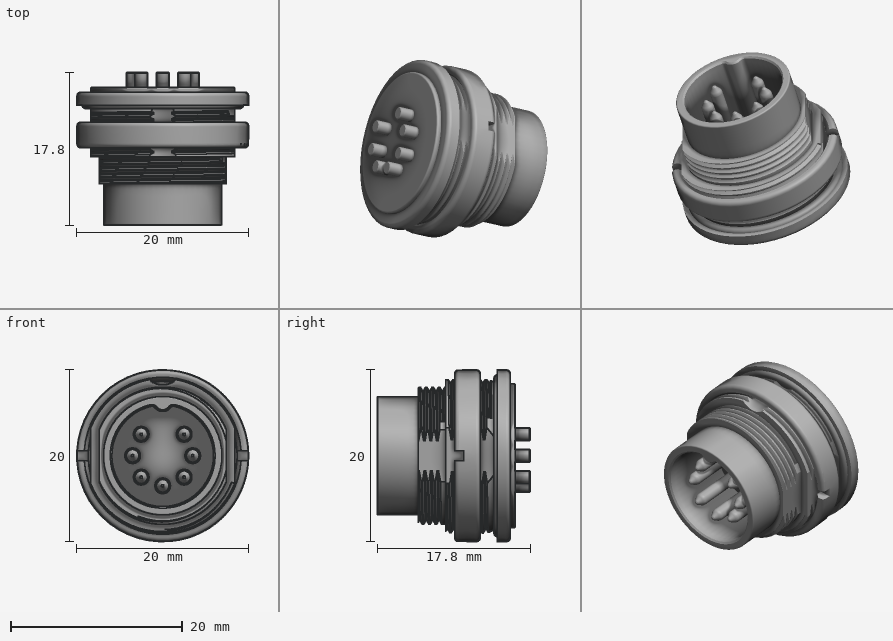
import cadquery as cq
import math


BODY_FRONT = 4.8
BODY_STEP = 7.95
NUT_FRONT = 9.0
NUT_REAR = 12.0
SEAL_FRONT = 13.57
FLANGE_FRONT = 13.97
FLANGE_REAR = 15.5
PLATE_REAR = 16.05
REAR_END = 17.8

SLEEVE_D = 13.8
SLEEVE_EDGE = 0.17
CAVITY_D = 11.84
CAVITY_DEPTH = 8.2
CAVITY_EDGE = 0.19
KEY_R = 1.1
KEY_TIP_Z = 5.15
KEY_BLEND = 0.5

SMALL_MAJOR_D = 16.0
SMALL_ROOT_D = 15.2
SMALL_FLATS = 14.8
LARGE_MAJOR_D = 18.0
LARGE_ROOT_D = 17.2
LARGE_FLATS = 16.8
NECK_D = 17.38
NECK_TAPER = 0.8
PITCH = 0.75
ROOT_WIDTH = 0.17
FLANK_ANGLE = 30.0
GROOVE_OVERCUT = 0.075
RUNOUT_ANGLE = 30.0
SMALL_RUNOUT = 7.705
LARGE_RUNOUT = 13.155
SMALL_TURNS = 5.2
LARGE_TURNS = 6.858

KEYWAY_R = 2.1
KEYWAY_BOTTOM_Z = 8.24

FLANGE_D = 20.0
FLANGE_FILLET = 0.5
SEAL_D = 18.86
SEAL_FILLET = 0.5
PLATE_D = 16.8
PLATE_FILLET = 0.2

NUT_D = 20.0
NUT_FILLET = 0.5
NUT_BORE_D = 17.34
NUT_MOUTH_D = 18.3
NUT_SLOT_WIDTH = 1.15
NUT_SLOT_DEPTH = 1.05

PIN_CIRCLE_R = 3.5
PIN_OFFSET = 2.5
PIN_POSITIONS = [
    (-PIN_CIRCLE_R, 0),
    (PIN_CIRCLE_R, 0),
    (0, -PIN_CIRCLE_R),
    (-PIN_OFFSET, -PIN_OFFSET),
    (PIN_OFFSET, -PIN_OFFSET),
    (-PIN_OFFSET, PIN_OFFSET),
    (PIN_OFFSET, PIN_OFFSET),
]
PIN_D = 1.48
PIN_COLLAR_D = 1.82
PIN_SHOULDER_D = 1.1
PIN_NOSE_D = 0.52
PIN_POINT_D = 0.29
PIN_FRONT = 0.75
PIN_NOSE_LENGTH = 0.1
PIN_CONE_LENGTH = 0.45
PIN_SHOULDER_LENGTH = 0.47
SOLDER_PIN_D = 1.48
SOLDER_PIN_EDGE = 0.1

CLEARANCE = 1.0
JOINT = 0.3


def cylinder(diameter, y_start, y_end, x=0.0, z=0.0):
    """Cylinder along Y between two stations."""
    plane = cq.Workplane("XZ", origin=(0, y_start, 0))
    return plane.center(x, z).circle(diameter / 2).extrude(y_start - y_end)


def revolve_about_axis(profile):
    return profile.close().revolve(360, (0, 0, 0), (0, 1, 0))


def cut_flats(body, across, y_start, y_end):
    """Keep only the material between two flats facing +X and -X."""
    depth = y_end - y_start
    middle = (y_start + y_end) / 2
    envelope = cq.Workplane("XY").box(across, depth, FLANGE_D).translate((0, middle, 0))
    return body.intersect(envelope)


def thread_groove(major_d, root_d, runout, turns):
    """Right-handed helical V groove that ends at the runout station."""
    root_r = root_d / 2
    outer_r = major_d / 2 + GROOVE_OVERCUT
    root_half = ROOT_WIDTH / 2
    mouth_half = root_half + (outer_r - root_r) * math.tan(math.radians(FLANK_ANGLE))
    length = turns * PITCH
    start_angle = -RUNOUT_ANGLE - 360 * turns
    path = cq.Workplane(obj=cq.Wire.makeHelix(PITCH, length, root_r))
    groove = (
        cq.Workplane("XZ")
        .moveTo(root_r, -root_half)
        .lineTo(root_r, root_half)
        .lineTo(outer_r, mouth_half)
        .lineTo(outer_r, -mouth_half)
        .close()
        .sweep(path, isFrenet=True)
    )
    return (
        groove.rotate((0, 0, 0), (0, 0, 1), start_angle)
        .rotate((0, 0, 0), (1, 0, 0), -90)
        .translate((0, runout - length, 0))
    )


def make_small_thread():
    rear = BODY_STEP + JOINT
    body = cylinder(SMALL_MAJOR_D, BODY_FRONT, rear)
    body = body.cut(thread_groove(SMALL_MAJOR_D, SMALL_ROOT_D, SMALL_RUNOUT, SMALL_TURNS))
    return cut_flats(body, SMALL_FLATS, BODY_FRONT, rear)


def make_large_thread():
    rear = SEAL_FRONT + JOINT
    body = revolve_about_axis(
        cq.Workplane("XY")
        .moveTo(0, BODY_STEP)
        .lineTo(LARGE_MAJOR_D / 2, BODY_STEP)
        .lineTo(LARGE_MAJOR_D / 2, SEAL_FRONT - NECK_TAPER)
        .lineTo(NECK_D / 2, SEAL_FRONT)
        .lineTo(NECK_D / 2, rear)
        .lineTo(0, rear)
    )
    body = body.cut(thread_groove(LARGE_MAJOR_D, LARGE_ROOT_D, LARGE_RUNOUT, LARGE_TURNS))
    body = cut_flats(body, LARGE_FLATS, BODY_STEP, rear)
    keyway = cylinder(
        2 * KEYWAY_R, BODY_STEP - CLEARANCE, SEAL_FRONT, z=KEYWAY_BOTTOM_Z + KEYWAY_R
    )
    return body.cut(keyway)


def make_flange():
    flange = cylinder(FLANGE_D, FLANGE_FRONT, FLANGE_REAR).faces(">Y").edges().fillet(FLANGE_FILLET)
    seal = cylinder(SEAL_D, SEAL_FRONT, FLANGE_FRONT + JOINT).faces("<Y").edges().fillet(SEAL_FILLET)
    plate = cylinder(PLATE_D, FLANGE_REAR - JOINT, PLATE_REAR).faces(">Y").edges().fillet(PLATE_FILLET)
    return flange.union(seal).union(plate)


def make_nut():
    nut = cylinder(NUT_D, NUT_FRONT, NUT_REAR).cut(cylinder(NUT_BORE_D, NUT_FRONT, NUT_REAR))
    nut = nut.edges(cq.selectors.RadiusNthSelector(0)).chamfer((NUT_MOUTH_D - NUT_BORE_D) / 2)
    nut = nut.edges(cq.selectors.RadiusNthSelector(-1)).fillet(NUT_FILLET)
    slot_end = NUT_FRONT + NUT_SLOT_DEPTH
    slot_length = NUT_SLOT_DEPTH + CLEARANCE
    slot = cq.Workplane("XY").box(NUT_D + CLEARANCE, slot_length, NUT_SLOT_WIDTH)
    return nut.cut(slot.translate((0, slot_end - slot_length / 2, 0)))


def make_cavity():
    """Round socket with a rounded key running along its top."""
    bore = cylinder(CAVITY_D, 0, CAVITY_DEPTH)
    key = cylinder(2 * KEY_R, -CLEARANCE, CAVITY_DEPTH + CLEARANCE, z=KEY_TIP_Z + KEY_R)
    key_corners = cq.selectors.BoxSelector((-KEY_R, 0, KEY_TIP_Z), (KEY_R, CAVITY_DEPTH, CAVITY_D / 2))
    return bore.cut(key).edges("|Y").edges(key_corners).fillet(KEY_BLEND)


def make_sleeve():
    """Front sleeve with its keyed cavity and the insert that closes the cavity floor."""
    sleeve = cylinder(SLEEVE_D, 0, FLANGE_FRONT).faces("<Y").edges().fillet(SLEEVE_EDGE)
    sleeve = sleeve.cut(make_cavity())
    mouth = sleeve.faces("<Y").wires(cq.selectors.LengthNthSelector(0))
    return mouth.edges().chamfer(CAVITY_EDGE)


def make_pin():
    """Contact pin on the axis: pointed nose in front, plain solder end behind."""
    nose_end = PIN_FRONT + PIN_NOSE_LENGTH
    cone_end = nose_end + PIN_CONE_LENGTH
    shoulder_end = cone_end + PIN_SHOULDER_LENGTH
    shoulder_drop = (PIN_D - PIN_SHOULDER_D) / 2
    shoulder_radius = (PIN_SHOULDER_LENGTH**2 + shoulder_drop**2) / (2 * shoulder_drop)
    collar_height = (PIN_COLLAR_D - PIN_D) / 2
    contact = revolve_about_axis(
        cq.Workplane("XY")
        .moveTo(0, PIN_FRONT)
        .lineTo(PIN_POINT_D / 2, PIN_FRONT)
        .lineTo(PIN_NOSE_D / 2, nose_end)
        .lineTo(PIN_SHOULDER_D / 2, cone_end)
        .radiusArc((PIN_D / 2, shoulder_end), -shoulder_radius)
        .lineTo(PIN_D / 2, CAVITY_DEPTH - collar_height)
        .lineTo(PIN_COLLAR_D / 2, CAVITY_DEPTH)
        .lineTo(PIN_COLLAR_D / 2, CAVITY_DEPTH + JOINT)
        .lineTo(0, CAVITY_DEPTH + JOINT)
    )
    solder_end = cylinder(SOLDER_PIN_D, PLATE_REAR - JOINT, REAR_END)
    solder_end = solder_end.faces(">Y").edges().chamfer(SOLDER_PIN_EDGE)
    return contact, solder_end

def make_connector():
    shell = make_sleeve().union(make_flange())
    contact, solder_end = make_pin()
    for x, z in PIN_POSITIONS:
        shell = shell.union(contact.translate((x, 0, z)))
        shell = shell.union(solder_end.translate((x, 0, z)))
    core = cylinder(SLEEVE_D, 0, CAVITY_DEPTH + JOINT)
    threads = make_large_thread().union(make_small_thread()).cut(core)
    return threads.union(make_nut()).union(shell)


result = make_connector()